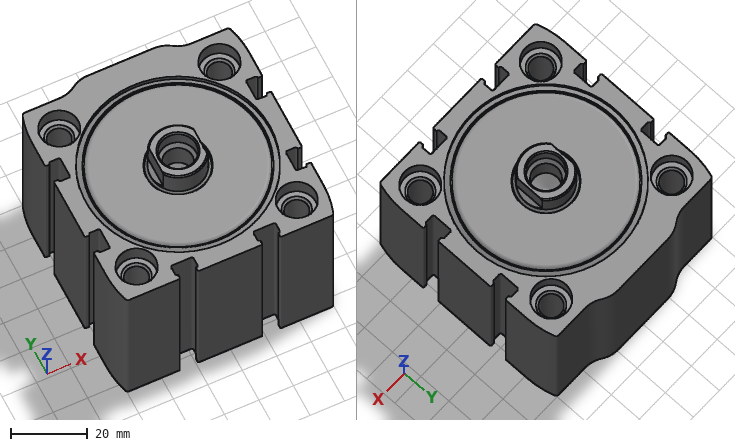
import cadquery as cq
import math

WIDTH = 63.0
HALF = WIDTH / 2
DEPTH = 66.0
HEIGHT = 47.0
BULGE_Y = DEPTH - HALF
BULGE_FLAT_X = 9.6
BULGE_FOOT_X = 19.15
SIDE_FLAT_Y = 22.4
SIDE_ARC_RADIUS = 27.7
CORNER_FILLET = 0.9

SLOT_OFFSET = 11.95
SLOT_MOUTH = 5.15
SLOT_WIDTH = 6.5
SLOT_LIP = 1.3
SLOT_DEPTH = 4.55
SLOT_FILLET = 0.5
LIP_FILLET = 0.3

BOLT_PITCH = 46.45
BOLT_DIA = 6.65
BOLT_BEVEL_DIA = 8.0
COUNTERBORE_DIA = 11.0
COUNTERBORE_DEPTH = 4.9

FACE_RECESS = 0.2
FACE_DIA = 49.2
FACE_BEND_DIA = 48.3
FACE_BEND_RADIUS = 1.1
FACE_BEVEL_SLOPE = 40.0
LAND_DIA = 50.0
LAND_SLOPE = 30.0
RING_DIA = 53.3
RING_DEPTH = 1.4
ROD_RECESS_DIA = 18.1
LIP_FOOT_DIA = 17.55
LIP_TOP_DEPTH = 0.4

ROD_DIA = 16.0
ROD_TOP = 54.0
ROD_BOTTOM = 6.6
ROD_CHAMFER = 0.4
FLATS_WIDTH = 13.0
FLATS_BOTTOM = HEIGHT + 0.65
RUNOUT_SLOPE = 30.0
SOCKET_MOUTH_DIA = 11.35
SOCKET_DIA = 10.5
SOCKET_DEPTH = 4.6
DRILL_DIA = 8.4
DRILL_DEPTH = 13.2
DRILL_TIP_SLOPE = 31.0


def revolved(points):
    """Solid of revolution about Z from (radius, z) points."""
    return cq.Workplane("XZ").polyline(points).close().revolve(360, (0, 0, 0), (0, 1, 0))


def make_half_block():
    """Half of the plain housing block on the +X side."""
    arc_rise = HALF - SIDE_FLAT_Y
    arc_angle = math.asin(arc_rise / SIDE_ARC_RADIUS)
    corner_x = HALF - SIDE_ARC_RADIUS * (1 - math.cos(arc_angle))
    middle = ((BULGE_FLAT_X + BULGE_FOOT_X) / 2, (HALF + BULGE_Y) / 2)
    half = (
        cq.Workplane("XY")
        .moveTo(0, -HALF)
        .lineTo(corner_x, -HALF)
        .radiusArc((HALF, -SIDE_FLAT_Y), -SIDE_ARC_RADIUS)
        .lineTo(HALF, SIDE_FLAT_Y)
        .radiusArc((corner_x, HALF), -SIDE_ARC_RADIUS)
        .lineTo(BULGE_FOOT_X, HALF)
        .tangentArcPoint(middle, relative=False)
        .tangentArcPoint((BULGE_FLAT_X, BULGE_Y), relative=False)
        .lineTo(0, BULGE_Y)
        .close()
        .extrude(HEIGHT)
    )
    for y in (-HALF, HALF):
        corner = cq.selectors.NearestToPointSelector((corner_x, y, HEIGHT / 2))
        half = half.edges("|Z").edges(corner).fillet(CORNER_FILLET)
    return half


def slot_cutter():
    """T-slot opening onto the front face, centred on X = 0."""
    chamber_depth = SLOT_DEPTH - SLOT_LIP
    chamber = (
        cq.Workplane("XY")
        .box(SLOT_WIDTH, chamber_depth, HEIGHT, centered=(True, False, False))
        .edges("|Z").fillet(SLOT_FILLET)
        .translate((0, SLOT_LIP - HALF, 0))
    )
    mouth = (
        cq.Workplane("XY")
        .box(SLOT_MOUTH, SLOT_DEPTH / 2, HEIGHT, centered=(True, False, False))
        .translate((0, -HALF, 0))
    )
    return chamber.union(mouth)


def cut_slots(body):
    """Two T-slots in the front face and two in each side, with rounded mouths."""
    for turn in (-90, 0, 90):
        for offset in (-SLOT_OFFSET, SLOT_OFFSET):
            cutter = slot_cutter().translate((offset, 0, 0))
            body = body.cut(cutter.rotate((0, 0, 0), (0, 0, 1), turn))
    near_rim = SLOT_OFFSET - SLOT_MOUTH / 2
    far_rim = SLOT_OFFSET + SLOT_MOUTH / 2
    for rim in (-far_rim, -near_rim, near_rim, far_rim):
        for point in ((rim, -HALF), (-HALF, rim), (HALF, rim)):
            edge = cq.selectors.NearestToPointSelector((*point, HEIGHT / 2))
            body = body.edges("|Z").edges(edge).fillet(LIP_FILLET)
    return body


def bolt_hole_cutter():
    """Counterbored through hole with a bevelled lower step, on the Z axis."""
    floor = HEIGHT - COUNTERBORE_DEPTH
    bevel = (BOLT_BEVEL_DIA - BOLT_DIA) / 2
    return revolved([
        (0, 0),
        (BOLT_DIA / 2, 0),
        (BOLT_DIA / 2, floor - bevel),
        (BOLT_BEVEL_DIA / 2, floor),
        (COUNTERBORE_DIA / 2, floor),
        (COUNTERBORE_DIA / 2, HEIGHT),
        (0, HEIGHT),
    ])


def end_face_cutter():
    """Everything removed above the end face, with the stepped groove around it."""
    face = HEIGHT - FACE_RECESS
    bevel = math.radians(FACE_BEVEL_SLOPE)
    bend_radius = FACE_BEND_DIA / 2
    bend_start = bend_radius - FACE_BEND_RADIUS * math.sin(bevel)
    bend_z = face - FACE_BEND_RADIUS * (1 - math.cos(bevel))
    gap_inner = FACE_DIA / 2
    gap_outer = LAND_DIA / 2
    gap_floor = bend_z - (gap_inner - bend_radius) * math.tan(bevel)
    ring_radius = RING_DIA / 2
    ring_floor = HEIGHT - RING_DEPTH
    land_top = ring_floor + (ring_radius - gap_outer) * math.tan(math.radians(LAND_SLOPE))
    return (
        cq.Workplane("XZ")
        .moveTo(0, face)
        .lineTo(bend_start, face)
        .radiusArc((bend_radius, bend_z), FACE_BEND_RADIUS)
        .lineTo(gap_inner, gap_floor)
        .lineTo(gap_outer, gap_floor)
        .lineTo(gap_outer, land_top)
        .lineTo(ring_radius, ring_floor)
        .lineTo(ring_radius, HEIGHT)
        .lineTo(0, HEIGHT)
        .close()
        .revolve(360, (0, 0, 0), (0, 1, 0))
    )


def rod_bore_cutter():
    """Blind bore for the rod and the recess around its mouth, which leaves a wiper lip."""
    face = HEIGHT - FACE_RECESS
    lip_top = HEIGHT - LIP_TOP_DEPTH
    recess_floor = lip_top - (LIP_FOOT_DIA - ROD_DIA) / 2
    return revolved([
        (0, ROD_BOTTOM),
        (ROD_DIA / 2, ROD_BOTTOM),
        (ROD_DIA / 2, lip_top),
        (LIP_FOOT_DIA / 2, recess_floor),
        (ROD_RECESS_DIA / 2, recess_floor),
        (ROD_RECESS_DIA / 2, face),
        (0, face),
    ])


def make_housing():
    half = make_half_block()
    body = cut_slots(half.union(half.mirror("YZ")).clean())
    for x in (-BOLT_PITCH / 2, BOLT_PITCH / 2):
        for y in (-BOLT_PITCH / 2, BOLT_PITCH / 2):
            body = body.cut(bolt_hole_cutter().translate((x, y, 0)))
    return body.cut(end_face_cutter()).cut(rod_bore_cutter())


def flat_cutter():
    """Material removed beside the spanner flat on the +X side of the rod."""
    inner = FLATS_WIDTH / 2
    outer = ROD_DIA / 2
    drop = (outer - inner) * math.tan(math.radians(RUNOUT_SLOPE))
    runout_end = FLATS_BOTTOM - drop
    return (
        cq.Workplane("XZ")
        .polyline([(inner, FLATS_BOTTOM), (outer, runout_end), (outer, ROD_TOP), (inner, ROD_TOP)])
        .close()
        .extrude(ROD_DIA / 2, both=True)
    )


def socket_cutter():
    """Stepped socket in the rod end: mouth bevel, socket, 45 degree step, drilled hole."""
    bevel = (SOCKET_MOUTH_DIA - SOCKET_DIA) / 2
    step = (SOCKET_DIA - DRILL_DIA) / 2
    step_top = ROD_TOP - SOCKET_DEPTH
    drill_end = ROD_TOP - DRILL_DEPTH
    tip = DRILL_DIA / 2 * math.tan(math.radians(DRILL_TIP_SLOPE))
    return revolved([
        (0, ROD_TOP),
        (SOCKET_MOUTH_DIA / 2, ROD_TOP),
        (SOCKET_DIA / 2, ROD_TOP - bevel),
        (SOCKET_DIA / 2, step_top),
        (DRILL_DIA / 2, step_top - step),
        (DRILL_DIA / 2, drill_end),
        (0, drill_end - tip),
    ])


def make_rod():
    rod = (
        cq.Workplane("XY", origin=(0, 0, ROD_BOTTOM))
        .circle(ROD_DIA / 2)
        .extrude(ROD_TOP - ROD_BOTTOM)
        .faces(">Z").edges().chamfer(ROD_CHAMFER)
    )
    flat = flat_cutter()
    return rod.cut(flat).cut(flat.mirror("YZ")).cut(socket_cutter())


housing = make_housing()
rod = make_rod()

result = cq.Compound.makeCompound([housing.val(), rod.val()])